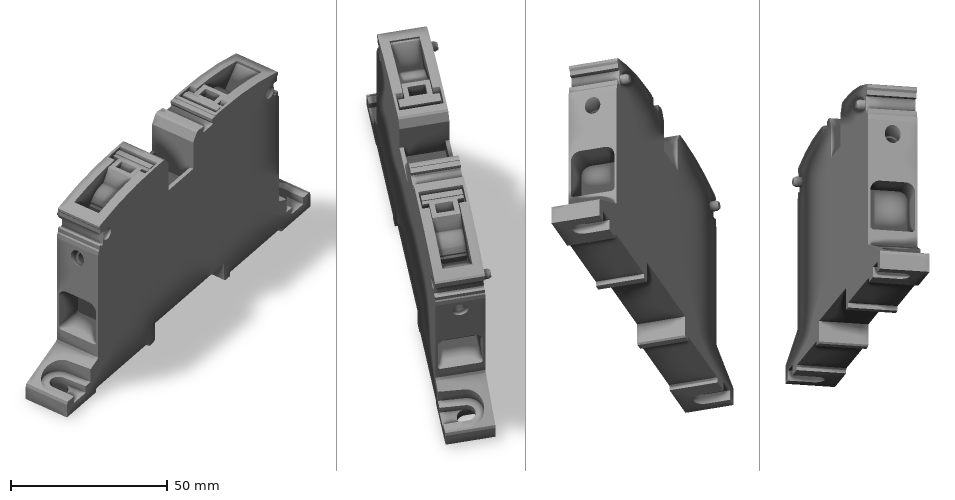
import cadquery as cq
import math

LENGTH = 133.5
THICKNESS = 16.3
TOP = 71.0
HALF_LENGTH = LENGTH / 2
HALF_THICKNESS = THICKNESS / 2
FRONT, BACK = -1, 1
ENDS = (FRONT, BACK)
CUT_MARGIN = 1.3

PAD_GAP = 1.6
PAD_OUTER = 50.8
PAD_CHAMFER = 0.5
RAIL_ROOF = 7.3
RAIL_BACK = 19.5
RAIL_FRONT = -18.5
HOOK_WIDTH = 3.1
HOOK_CHAMFER = 0.5

FOOT_EDGE = 5.1
FOOT_TOP = 6.1
FOOT_LEAN = 0.4
WALL = 49.6
WALL_FOOT = 13.5
WALL_CHAMFER = 0.7

DRAFT_START = 55.0
SHOULDER = 56.7
SHOULDER_CHAMFER = 0.4
LIP_OUT = 49.0
LEDGE = 58.7
LEDGE_GROOVE_OUT = 48.0
LEDGE_GROOVE = 58.2
GROOVE_LOW_IN = 47.0
GROOVE_HIGH_IN = 46.6
GROOVE_ROOF = 63.4
STEP_OUT = 48.5
STEP = 65.0
LIP_LOW = 65.7
NOSE = 66.6
NOSE_CORNER_OUT = 48.3
NOSE_CORNER = 67.0
CROWN_MID_OUT = 35.1
CROWN_MID = 69.8
CROWN_END = 18.7

MARKER_RIM = 70.7
MARKER_NECK = 69.5
MARKER_BULGE = 68.7
MARKER_FLOOR = 68.3
MARKER_CENTER = 10.5
MARKER_RIM_HALF = 4.1
MARKER_NECK_HALF = 2.3
MARKER_BULGE_HALF = 2.7
MARKER_FLOOR_HALF = 2.1

SLOT_BACK = 2.5
SLOT_FRONT = -11.0
SLOT_FLOOR = 57.0
SLOT_LEAD = 67.8
SLOT_LEAD_TOP = 70.6
SLOT_LEAD_RUN = 1.9
SLOT_BEVEL_RUN = 2.7
WELL_WIDTH = 13.6
WELL_DEPTH = 5.6

BOLT_Y = 59.9
BOLT_DIAMETER = 5.9
SEAT_DIAMETER = 11.3
SEAT_FLOOR = 6.1
TONGUE_WIDTH = 6.3
TONGUE_HEIGHT = 3.5
FLARE = 0.5

ENTRY_WIDTH = 14.7
ENTRY_FLOOR = 18.1
ENTRY_ROOF = 34.5
ENTRY_DEPTH = 10.5
ENTRY_TOP_RADIUS = 3.2
ENTRY_FLOOR_RADIUS = 1.1
TEST_Z = 50.5
TEST_TILT = 30.0
TEST_DIAMETER = 5.2
TEST_DEPTH = 3.5
TEST_CORE_DIAMETER = 3.5
TEST_CORE_DEPTH = 10.7

WINDOW_WIDTH = 9.7
WINDOW_OUT = 44.7
RAMP_OUT = 44.0
RAMP_TOP = 67.0
RAMP_IN = 36.5
WINDOW_FLOOR = 58.5
WINDOW_IN = 17.1
HEAD_SPACE_WIDTH = 14.5
HEAD_SPACE_OUT = 22.5
HEAD_SPACE_OUT_LOW = 21.0
HEAD_SPACE_IN = 16.0
HEAD_SPACE_IN_LOW = 16.7
HEAD_SPACE_FLOOR = 67.4

LEVER_WIDTH = 9.2
LEVER_TOP = 70.3
LEVER_IN = 17.3
LEVER_SHOULDER = 26.3
HOLLOW_START = 29.1
HOLLOW_START_Z = 65.8
HOLLOW_MID = 32.0
HOLLOW_MID_Z = 65.4
HOLLOW_END = 34.4
HOLLOW_END_Z = 64.0
TOE_STEP = 35.9
TOE_STEP_HIGH = 62.5
TOE_STEP_LOW = 61.6
TOE = 36.5
TOE_Z = 61.2
HEAD_WIDTH = 13.5
HEAD_TOP = 70.7
HEAD_EDGE = 19.3
HEAD_OUT = 20.5
SOCKET_WIDTH = 5.9
SOCKET_IN = 21.1
SOCKET_OUT = 24.7
SOCKET_DEPTH = 8.0

PIN_Y = 44.6
PIN_Z = 61.0
PIN_DIAMETER = 3.3
PIN_TIP_DIAMETER = 2.4
PIN_LENGTH = 2.7
PIN_TIP_LENGTH = 1.0
PIN_HOLE_RADIUS = 2.1
PIN_HOLE_DEPTH = 3.7

COVER_STEP_X = 6.0
COVER_STEP_Z = 16.3


def prism(points, width, end=BACK):
    """Extrudes a (distance from centre, height) outline across X, centred, at the given end."""
    outline = [(end * y, z) for y, z in points]
    return cq.Workplane("YZ").polyline(outline).close().extrude(width / 2, both=True)


def end_points():
    """Points of one end, from its foot pad up to the start of the crowned top."""
    return [
        (PAD_OUTER, 0),
        (HALF_LENGTH, 0),
        (HALF_LENGTH, FOOT_EDGE),
        (HALF_LENGTH - FOOT_LEAN, FOOT_TOP),
        (WALL + WALL_CHAMFER, WALL_FOOT - WALL_CHAMFER),
        (WALL, WALL_FOOT),
        (WALL, DRAFT_START),
        (LIP_OUT + SHOULDER_CHAMFER, SHOULDER),
        (LIP_OUT, SHOULDER + SHOULDER_CHAMFER),
        (LIP_OUT, LEDGE),
        (LEDGE_GROOVE_OUT, LEDGE),
        (LEDGE_GROOVE_OUT, LEDGE_GROOVE),
        (GROOVE_LOW_IN, LEDGE_GROOVE),
        (GROOVE_HIGH_IN, GROOVE_ROOF),
        (STEP_OUT, GROOVE_ROOF),
        (STEP_OUT, STEP),
        (LIP_OUT, LIP_LOW),
        (LIP_OUT, NOSE),
        (NOSE_CORNER_OUT, NOSE_CORNER),
    ]


def block():
    """The whole housing outline, extruded across its thickness."""
    back = end_points()
    front = [(-y, z) for y, z in reversed(back)]
    underside = [
        (-PAD_OUTER, PAD_GAP - PAD_CHAMFER),
        (-PAD_OUTER + PAD_CHAMFER, PAD_GAP),
        (RAIL_FRONT - HOOK_WIDTH, PAD_GAP),
        (RAIL_FRONT - HOOK_WIDTH, 0),
        (RAIL_FRONT - HOOK_CHAMFER, 0),
        (RAIL_FRONT, HOOK_CHAMFER),
        (RAIL_FRONT, RAIL_ROOF),
        (RAIL_BACK, RAIL_ROOF),
        (RAIL_BACK, HOOK_CHAMFER),
        (RAIL_BACK + HOOK_CHAMFER, 0),
        (RAIL_BACK + HOOK_WIDTH, 0),
        (RAIL_BACK + HOOK_WIDTH, PAD_GAP),
        (PAD_OUTER - PAD_CHAMFER, PAD_GAP),
        (PAD_OUTER, PAD_GAP - PAD_CHAMFER),
    ]
    return (
        cq.Workplane("YZ", origin=(-HALF_THICKNESS, 0, 0))
        .polyline(back)
        .threePointArc((CROWN_MID_OUT, CROWN_MID), (CROWN_END, TOP))
        .lineTo(-CROWN_END, TOP)
        .threePointArc((-CROWN_MID_OUT, CROWN_MID), (-NOSE_CORNER_OUT, NOSE_CORNER))
        .polyline(front[1:] + underside, includeCurrent=True)
        .close()
        .extrude(THICKNESS)
    )


def center_slot():
    """Slot between the blocks, with a lead-in that widens towards the top."""
    lead = [
        (0, SLOT_FLOOR),
        (0, SLOT_LEAD),
        (SLOT_LEAD_RUN, SLOT_LEAD_TOP),
        (SLOT_BEVEL_RUN, TOP),
    ]
    back_side = [(SLOT_BACK + run, z) for run, z in lead]
    front_side = [(SLOT_FRONT - run, z) for run, z in reversed(lead)]
    return prism(back_side + front_side, THICKNESS)


def slot_well():
    """Well sunk into the slot floor, leaving a thin ledge along each side face."""
    well = cq.Workplane("XY").box(WELL_WIDTH, SLOT_BACK - SLOT_FRONT, WELL_DEPTH)
    return well.translate((0, (SLOT_BACK + SLOT_FRONT) / 2, SLOT_FLOOR - WELL_DEPTH / 2))


def marker_groove():
    """Undercut groove for a marker strip."""
    half = [
        (MARKER_RIM_HALF, TOP),
        (MARKER_RIM_HALF, MARKER_RIM),
        (MARKER_NECK_HALF, MARKER_RIM),
        (MARKER_NECK_HALF, MARKER_NECK),
        (MARKER_BULGE_HALF, MARKER_BULGE),
        (MARKER_FLOOR_HALF, MARKER_FLOOR),
    ]
    back_side = [(MARKER_CENTER + y, z) for y, z in half]
    front_side = [(MARKER_CENTER - y, z) for y, z in reversed(half)]
    return prism(back_side + front_side, THICKNESS)


def open_seat(end, radius, floor):
    """U-shaped recess in a foot, open to +X and flared on the side nearest the housing."""
    y = end * BOLT_Y
    return (
        cq.Workplane("XY", origin=(0, 0, floor))
        .moveTo(0, y + end * radius)
        .lineTo(HALF_THICKNESS, y + end * radius)
        .lineTo(HALF_THICKNESS, y - end * (radius + FLARE))
        .lineTo(0, y - end * radius)
        .threePointArc((-radius, y), (0, y + end * radius))
        .close()
        .extrude(WALL_FOOT - floor)
    )


def mounting_cut(end):
    """Bolt hole, its seat and slot from +X, and the slot under the foot from -X."""
    y = end * BOLT_Y
    hole = cq.Workplane("XY", origin=(0, y, 0)).circle(BOLT_DIAMETER / 2).extrude(WALL_FOOT)
    tongue_end = cq.Workplane("XY", origin=(0, y, 0)).circle(TONGUE_WIDTH / 2).extrude(TONGUE_HEIGHT)
    tongue = cq.Workplane("XY").box(
        HALF_THICKNESS, TONGUE_WIDTH, TONGUE_HEIGHT, centered=(False, True, False)
    ).translate((-HALF_THICKNESS, y, 0))
    seat = open_seat(end, SEAT_DIAMETER / 2, SEAT_FLOOR)
    slot = open_seat(end, BOLT_DIAMETER / 2, TONGUE_HEIGHT)
    return hole.union(tongue_end).union(tongue).union(seat).union(slot)


def cable_entry(end):
    """Pocket in the end wall, with large rounds at its roof and small ones at its floor."""
    return (
        cq.Workplane("XY")
        .box(ENTRY_WIDTH, ENTRY_DEPTH, ENTRY_ROOF - ENTRY_FLOOR, centered=(True, True, False))
        .edges("|Y and >Z").fillet(ENTRY_TOP_RADIUS)
        .edges("|Y and <Z").fillet(ENTRY_FLOOR_RADIUS)
        .translate((0, end * (WALL - ENTRY_DEPTH / 2), ENTRY_FLOOR))
    )


def test_hole(end):
    """Stepped hole that runs inward and down from the end wall."""
    tilt = math.radians(TEST_TILT)
    mouth = cq.Vector(0, end * WALL, TEST_Z)
    inward = cq.Vector(0, -end * math.cos(tilt), -math.sin(tilt))
    wide = cq.Solid.makeCylinder(
        TEST_DIAMETER / 2, TEST_DEPTH + 2 * CUT_MARGIN, mouth - inward * (2 * CUT_MARGIN), inward
    )
    core = cq.Solid.makeCylinder(TEST_CORE_DIAMETER / 2, TEST_CORE_DEPTH, mouth, inward)
    return cq.Workplane(wide).union(cq.Workplane(core))


def lever_window(end):
    """Opening for a lever: a ramped well and a wider space for the lever head."""
    above = TOP + CUT_MARGIN
    well = [
        (WINDOW_IN, WINDOW_FLOOR),
        (RAMP_IN, WINDOW_FLOOR),
        (RAMP_OUT, RAMP_TOP),
        (WINDOW_OUT, RAMP_TOP),
        (WINDOW_OUT, above),
        (WINDOW_IN, above),
    ]
    head_space = [
        (HEAD_SPACE_IN_LOW, HEAD_SPACE_FLOOR),
        (HEAD_SPACE_OUT_LOW, HEAD_SPACE_FLOOR),
        (HEAD_SPACE_OUT, TOP),
        (HEAD_SPACE_OUT, above),
        (HEAD_SPACE_IN, above),
        (HEAD_SPACE_IN, TOP),
    ]
    return prism(well, WINDOW_WIDTH, end).union(prism(head_space, HEAD_SPACE_WIDTH, end))


def pin_hole(end):
    """Hole in the +X face that takes the pin of the next housing."""
    return (
        cq.Workplane("YZ", origin=(HALF_THICKNESS - PIN_HOLE_DEPTH, end * PIN_Y, PIN_Z))
        .circle(PIN_HOLE_RADIUS)
        .extrude(PIN_HOLE_DEPTH)
    )


def locating_pin(end):
    """Round pin on the -X face with a tapered tip."""
    face = cq.Workplane("YZ", origin=(-HALF_THICKNESS, end * PIN_Y, PIN_Z))
    shank = face.circle(PIN_DIAMETER / 2).extrude(-(PIN_LENGTH - PIN_TIP_LENGTH))
    tip = (
        face.workplane(offset=-(PIN_LENGTH - PIN_TIP_LENGTH)).circle(PIN_DIAMETER / 2)
        .workplane(offset=-PIN_TIP_LENGTH).circle(PIN_TIP_DIAMETER / 2).loft()
    )
    return shank.union(tip)


def housing():
    """Base and cover together, with every opening cut."""
    body = block().cut(center_slot()).cut(slot_well()).cut(marker_groove())
    for end in ENDS:
        body = body.cut(mounting_cut(end)).cut(cable_entry(end)).cut(test_hole(end))
        body = body.cut(lever_window(end)).cut(pin_hole(end))
    return body


def cover_zone():
    """Region that belongs to the cover: the +X half above the cable entry floors."""
    above = TOP + CUT_MARGIN
    return (
        cq.Workplane("XZ")
        .moveTo(0, above)
        .lineTo(0, ENTRY_FLOOR)
        .lineTo(COVER_STEP_X, ENTRY_FLOOR)
        .lineTo(COVER_STEP_X, COVER_STEP_Z)
        .lineTo(HALF_THICKNESS, COVER_STEP_Z)
        .lineTo(HALF_THICKNESS, above)
        .close()
        .extrude(WALL, both=True)
    )


def make_cover():
    return housing().intersect(cover_zone())


def make_base():
    base = housing().cut(cover_zone())
    for end in ENDS:
        base = base.union(locating_pin(end))
    return base


def make_lever(end):
    """Lever with a T-shaped head, a hollow thumb rest and a wedge-shaped tool socket."""
    arm = (
        cq.Workplane("YZ")
        .moveTo(end * LEVER_IN, WINDOW_FLOOR)
        .lineTo(end * LEVER_IN, LEVER_TOP)
        .lineTo(end * LEVER_SHOULDER, LEVER_TOP)
        .lineTo(end * HOLLOW_START, HOLLOW_START_Z)
        .threePointArc((end * HOLLOW_MID, HOLLOW_MID_Z), (end * HOLLOW_END, HOLLOW_END_Z))
        .lineTo(end * TOE_STEP, TOE_STEP_HIGH)
        .lineTo(end * TOE_STEP, TOE_STEP_LOW)
        .lineTo(end * TOE, TOE_Z)
        .lineTo(end * TOE, WINDOW_FLOOR)
        .close()
        .extrude(LEVER_WIDTH / 2, both=True)
    )
    head = [
        (LEVER_IN, HEAD_SPACE_FLOOR),
        (LEVER_IN, HEAD_TOP),
        (HEAD_EDGE, HEAD_TOP),
        (HEAD_EDGE, LEVER_TOP),
        (HEAD_OUT, LEVER_TOP),
        (HEAD_OUT, HEAD_SPACE_FLOOR),
    ]
    socket = [
        (SOCKET_IN, LEVER_TOP),
        (SOCKET_OUT, LEVER_TOP),
        (SOCKET_OUT, LEVER_TOP - SOCKET_DEPTH),
    ]
    return arm.union(prism(head, HEAD_WIDTH, end)).cut(prism(socket, SOCKET_WIDTH, end))


base = make_base()
cover = make_cover()
levers = [make_lever(end).val() for end in ENDS]

result = cq.Compound.makeCompound([base.val(), cover.val(), *levers])